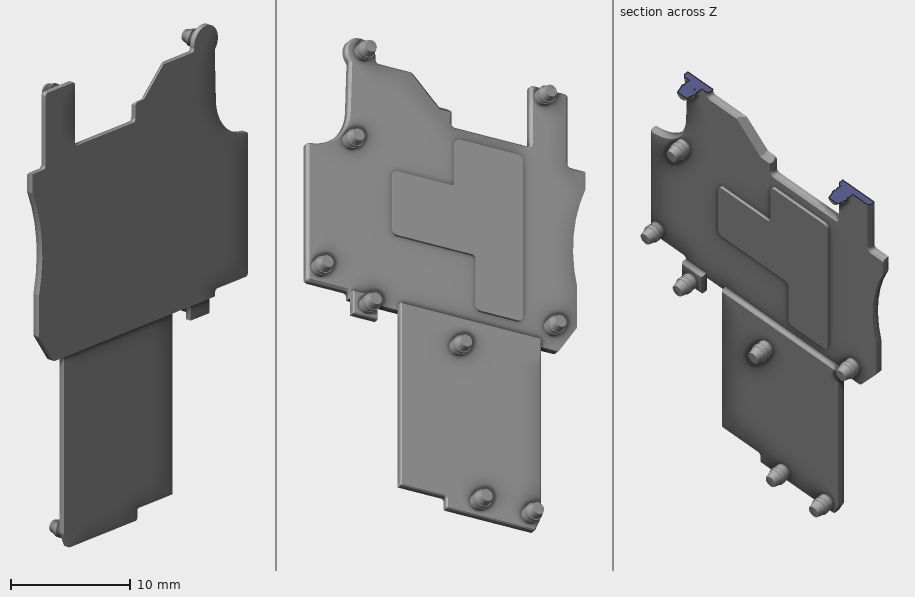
import cadquery as cq
import math


MAIN_FACE = -0.65
PAD_FACE = -0.9
LOWER_FACE = -1.2
LOWER_THICKNESS = 0.6
LOWER_BACK = LOWER_FACE + LOWER_THICKNESS
SLOPE_DEPTH = 0.5

WIDTH = 26.85
HEIGHT = 42.45

LEFT_BOTTOM = 18.35
BOTTOM = 17.7
BOTTOM_STEP = 22.75
LEFT_TOP = 31.4
HOLLOW_END = (22.85, 35.3)
LUG_RADIUS = 1.48
LUG_CENTER = (21.62, HEIGHT - LUG_RADIUS)
LUG_JOIN_ANGLE = math.radians(-43)
SHOULDER = 40.5
SLOPE_START = 16.3
SLOPE_END = (13.86, 38.07)
GAP_LEFT = 12.83
GAP_RIGHT = 5.28
GAP_FLOOR = 36.34
EAR_RIGHT = 1.62
EAR_TOP = 42.15
NOTCH_FLOOR = 35.35
WAIST_TOP = 33.6
WAIST_MID = (1.2, 27.55)
RIGHT_LOWER = 0.8
WAIST_BOTTOM = 24.2
CORNER_TOP = 20.4
CORNER_BOTTOM = 2.6
MAIN_FILLET = 0.3
MAIN_CHAMFER = 0.2

PAD_LEFT = 18.73
PAD_RIGHT = 6.18
PAD_TOP = 35.1
PAD_BOTTOM = 19.5
PAD_UPPER_STEP = (12.72, 30.62)
PAD_LOWER_STEP = (10.65, 24.61)
PAD_FILLET = 0.45

LOWER_LEFT = 18.1
LOWER_RIGHT = 4.55
LOWER_TOP = 18.22
LOWER_STEP = (13.7, 1.05)
BEVEL_WIDTH = 0.6
BEVEL_HEIGHT = 1.4
LOWER_FILLET = 0.2
LOWER_CHAMFER = 0.1
TAB_LEFT = 22.7
TAB_RIGHT = 20.32
TAB_BOTTOM = 16.05

PIN_LENGTH = 1.75
TIP_LENGTH = 0.7
TIP_RADIUS = 0.54
TIP_BASE_RADIUS = 0.72
COLLAR_LENGTH = 0.3
GROOVE_LENGTH = 0.15
GROOVE_RADIUS = 0.7
COLLAR_RADIUS = 0.78
BAND_RADIUS = 0.75
BAND_LENGTH = 0.45
FOOT_RADIUS = 0.68
MAIN_PIN_SINK = 0.1
MAIN_PINS = [LUG_CENTER, (4.24, 41.1), (22.8, 32.33), (25.8, 19.67), (3.32, 19.67)]
LOWER_PINS = [(21.5, 16.96), (12.79, 15.17), (10.8, 1.15), (5.84, 1.15)]

MARGIN = 2.0
TOLERANCE = 0.01


def plane_at(x):
    """Workplane whose local axes are Y and Z and whose normal is +X."""
    return cq.Workplane("YZ", origin=(x, 0, 0))


def fillet_corners(body, corners, x_middle, radius):
    """Round the X-parallel edges that stand at the given (y, z) corners."""
    edges = [body.edges("|X").edges(cq.NearestToPointSelector((x_middle, y, z))).val() for y, z in corners]
    return body.newObject(edges).fillet(radius)


def make_main_plate():
    lug_y, lug_z = LUG_CENTER
    lug_left = (
        lug_y + LUG_RADIUS * math.cos(LUG_JOIN_ANGLE),
        lug_z + LUG_RADIUS * math.sin(LUG_JOIN_ANGLE),
    )
    lug_right = (lug_y - math.sqrt(LUG_RADIUS**2 - (lug_z - SHOULDER) ** 2), SHOULDER)
    plate = (
        plane_at(MAIN_FACE)
        .moveTo(*lug_left)
        .lineTo(*HOLLOW_END)
        .tangentArcPoint((WIDTH, LEFT_TOP), relative=False)
        .lineTo(WIDTH, LEFT_BOTTOM)
        .lineTo(BOTTOM_STEP, LEFT_BOTTOM)
        .lineTo(BOTTOM_STEP, BOTTOM)
        .lineTo(CORNER_BOTTOM, BOTTOM)
        .lineTo(RIGHT_LOWER, CORNER_TOP)
        .lineTo(RIGHT_LOWER, WAIST_BOTTOM)
        .threePointArc(WAIST_MID, (0, WAIST_TOP))
        .lineTo(0, NOTCH_FLOOR)
        .lineTo(EAR_RIGHT, NOTCH_FLOOR)
        .lineTo(EAR_RIGHT, EAR_TOP)
        .lineTo(GAP_RIGHT, EAR_TOP)
        .lineTo(GAP_RIGHT, GAP_FLOOR)
        .lineTo(GAP_LEFT, GAP_FLOOR)
        .lineTo(GAP_LEFT, SLOPE_END[1])
        .lineTo(*SLOPE_END)
        .lineTo(SLOPE_START, SHOULDER)
        .lineTo(*lug_right)
        .threePointArc((lug_y, HEIGHT), lug_left)
        .close()
        .extrude(-MAIN_FACE)
    )
    rounded = [
        (WIDTH, LEFT_BOTTOM),
        (WIDTH, LEFT_TOP),
        lug_left,
        lug_right,
        SLOPE_END,
        (GAP_LEFT, SLOPE_END[1]),
        (GAP_LEFT, GAP_FLOOR),
        (GAP_RIGHT, GAP_FLOOR),
        (GAP_RIGHT, EAR_TOP),
        (EAR_RIGHT, EAR_TOP),
        (EAR_RIGHT, NOTCH_FLOOR),
        (RIGHT_LOWER, CORNER_TOP),
        (CORNER_BOTTOM, BOTTOM),
        (BOTTOM_STEP, LEFT_BOTTOM),
    ]
    plate = fillet_corners(plate, rounded, MAIN_FACE / 2, MAIN_FILLET)

    def is_broken(edge):
        center = edge.Center()
        on_right = center.y < EAR_RIGHT and center.z < NOTCH_FLOOR - TOLERANCE
        on_bottom = center.y < BOTTOM_STEP + TOLERANCE and center.z < LEFT_BOTTOM - MAIN_FILLET
        on_corner = center.y < CORNER_BOTTOM and center.z < CORNER_TOP + MAIN_FILLET
        return not (on_right or on_bottom or on_corner)

    broken = [edge for edge in plate.faces("<X").edges().vals() if is_broken(edge)]
    return plate.newObject(broken).chamfer(MAIN_CHAMFER)


def make_slope_cutter():
    """45 degree bevel along the slanted shoulder and the short ledge below it."""
    slant = (SLOPE_START - SLOPE_END[0]) / (SHOULDER - SLOPE_END[1])
    top = SHOULDER + MARGIN
    return (
        plane_at(MAIN_FACE + SLOPE_DEPTH)
        .polyline(
            [
                (SLOPE_START + MARGIN * slant, top),
                SLOPE_END,
                (GAP_LEFT - MARGIN, SLOPE_END[1]),
                (GAP_LEFT - MARGIN, top),
            ]
        )
        .close()
        .extrude(-SLOPE_DEPTH, taper=-45)
    )


def make_pad():
    outline = [
        (PAD_LEFT, PAD_UPPER_STEP[1]),
        PAD_UPPER_STEP,
        (PAD_UPPER_STEP[0], PAD_TOP),
        (PAD_RIGHT, PAD_TOP),
        (PAD_RIGHT, PAD_BOTTOM),
        (PAD_LOWER_STEP[0], PAD_BOTTOM),
        PAD_LOWER_STEP,
        (PAD_LEFT, PAD_LOWER_STEP[1]),
    ]
    pad = plane_at(PAD_FACE).polyline(outline).close().extrude(-PAD_FACE + MAIN_FACE)
    return pad.edges("|X").fillet(PAD_FILLET)


def make_lower_plate():
    outline = [
        (LOWER_LEFT, LOWER_TOP),
        (LOWER_RIGHT, LOWER_TOP),
        (LOWER_RIGHT, BEVEL_HEIGHT),
        (LOWER_RIGHT + BEVEL_WIDTH, 0),
        (LOWER_STEP[0], 0),
        LOWER_STEP,
        (LOWER_LEFT, LOWER_STEP[1]),
    ]
    plate = plane_at(LOWER_FACE).polyline(outline).close().extrude(LOWER_THICKNESS)
    plate = fillet_corners(plate, outline[2:6], (LOWER_FACE + LOWER_BACK) / 2, LOWER_FILLET)
    return plate.faces("<X").edges().chamfer(LOWER_CHAMFER)


def make_tab():
    width = TAB_LEFT - TAB_RIGHT
    height = LOWER_TOP - TAB_BOTTOM
    tab = cq.Workplane("XY").box(LOWER_THICKNESS, width, height, centered=False)
    tab = tab.translate((LOWER_FACE, TAB_RIGHT, TAB_BOTTOM))
    return tab.faces("<X").edges().chamfer(LOWER_CHAMFER)


def make_pin(base_x, center):
    """Pin pointing toward -X: tapered tip, collar, groove, band and foot, which ends at base_x."""
    collar_end = TIP_LENGTH + COLLAR_LENGTH
    band_start = collar_end + GROOVE_LENGTH
    band_end = band_start + BAND_LENGTH
    profile = [
        (0, 0),
        (0, TIP_RADIUS),
        (TIP_LENGTH, TIP_BASE_RADIUS),
        (TIP_LENGTH, COLLAR_RADIUS),
        (collar_end, COLLAR_RADIUS),
        (collar_end, GROOVE_RADIUS),
        (band_start, GROOVE_RADIUS),
        (band_start, BAND_RADIUS),
        (band_end, BAND_RADIUS),
        (band_end, FOOT_RADIUS),
        (PIN_LENGTH, FOOT_RADIUS),
        (PIN_LENGTH, 0),
    ]
    pin = cq.Workplane("XY").polyline(profile).close().revolve(360, (0, 0, 0), (1, 0, 0))
    return pin.translate((base_x - PIN_LENGTH, *center))


result = make_main_plate().cut(make_slope_cutter()).union(make_pad())
result = result.union(make_lower_plate()).union(make_tab())
for pin_center in MAIN_PINS:
    result = result.union(make_pin(MAIN_FACE + MAIN_PIN_SINK, pin_center))
for pin_center in LOWER_PINS:
    result = result.union(make_pin(LOWER_FACE, pin_center))